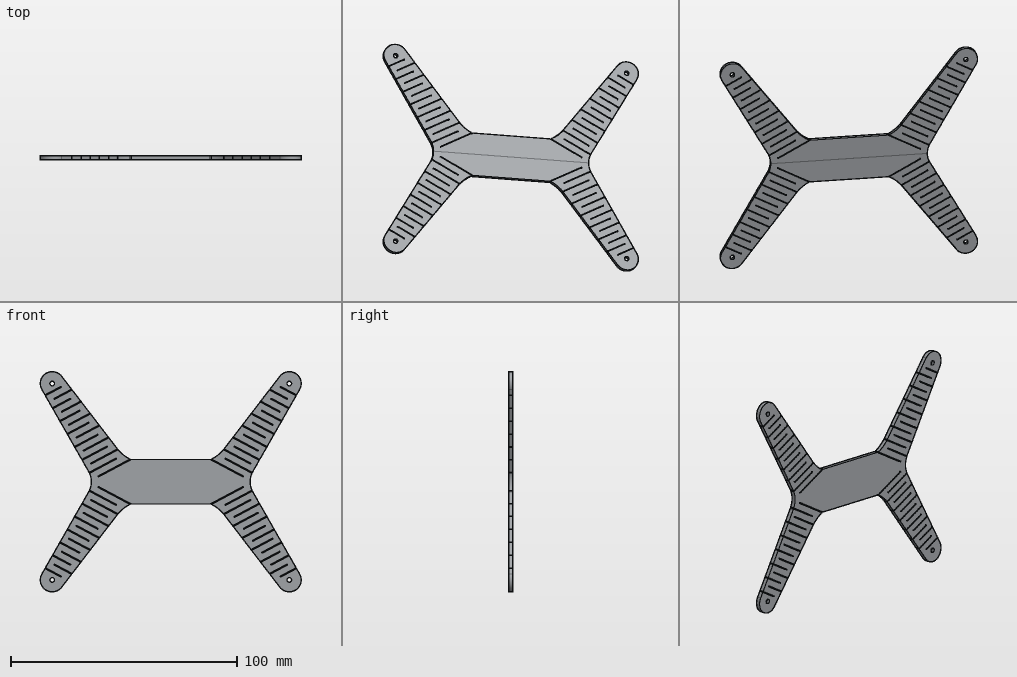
import cadquery as cq
import math

length = 115.5
height = 97.5
thickness = 2.0

body_half_height = 9.9
tip_radius = 5.3
hole_diameter = 2.0
end_blend_radius = 9.2
side_blend_radius = 17.3
side_corner_x = 17.9
outer_edge_angle = 29.7
inner_edge_angle = 37.5

slot_count = 14
slot_width = 0.29
slot_tilt = 28.0
first_slot_distance = 59.8
last_slot_distance = 17.1
outer_web = 2.7
inner_web = 3.0
overshoot = 3.5

slot_pitch = (first_slot_distance - last_slot_distance) / (slot_count - 1)


def offset(point, direction, distance):
    """Point moved by a distance along a unit direction."""
    return (point[0] + direction[0] * distance, point[1] + direction[1] * distance)


def unit(angle):
    """Unit direction at an angle in degrees from +X toward +Z."""
    return (math.cos(math.radians(angle)), math.sin(math.radians(angle)))


def distance_along_normal(point, normal):
    """Distance of a point from the plate centre, measured along a unit normal."""
    return point[0] * normal[0] + point[1] * normal[1]


outer_normal = unit(-outer_edge_angle)
inner_normal = unit(180 - inner_edge_angle)

slot_direction = unit(180 - slot_tilt)
slot_normal = unit(90 - slot_tilt)

tip_center = (length / 2 - tip_radius, height / 2 - tip_radius)
outer_tangent = offset(tip_center, outer_normal, tip_radius)
inner_tangent = offset(tip_center, inner_normal, tip_radius)
tip_middle = offset(tip_center, unit((180 - inner_edge_angle - outer_edge_angle) / 2), tip_radius)


def quarter_outline():
    """One quarter of the plate: half the body's width and height plus one arm."""
    outer_level = distance_along_normal(outer_tangent, outer_normal)
    inner_level = distance_along_normal(inner_tangent, inner_normal)

    end_center = ((outer_level + end_blend_radius) / outer_normal[0], 0)
    end_inner = offset(end_center, unit(180), end_blend_radius)
    end_middle = offset(end_center, unit(180 - outer_edge_angle / 2), end_blend_radius)
    end_outer = offset(end_center, unit(180 - outer_edge_angle), end_blend_radius)

    side_corner = (side_corner_x, body_half_height)
    corner_depth = distance_along_normal(side_corner, inner_normal) - inner_level
    blend_turn = math.degrees(math.acos(1 - corner_depth / side_blend_radius))
    side_center = offset(side_corner, unit(180 - inner_edge_angle - blend_turn), side_blend_radius)
    side_middle = offset(side_center, unit(-inner_edge_angle - blend_turn / 2), side_blend_radius)
    side_outer = offset(side_center, unit(-inner_edge_angle), side_blend_radius)

    return (
        cq.Workplane("XZ")
        .moveTo(0, 0)
        .lineTo(*end_inner)
        .threePointArc(end_middle, end_outer)
        .lineTo(*outer_tangent)
        .threePointArc(tip_middle, inner_tangent)
        .lineTo(*side_outer)
        .threePointArc(side_middle, side_corner)
        .lineTo(0, body_half_height)
        .close()
    )


def reach_to_edge(point, edge_point, edge_normal, web):
    """Signed travel along the slot from a point to a line set inside an arm edge by the web."""
    level = distance_along_normal(edge_point, edge_normal) - web
    gap = level - distance_along_normal(point, edge_normal)
    return gap / distance_along_normal(slot_direction, edge_normal)


def slot(index):
    """One slot; even ones open through the outer edge, odd ones through the inner edge."""
    base = offset((0, 0), slot_normal, first_slot_distance - index * slot_pitch)
    opens_outward = index % 2 == 0
    start = reach_to_edge(base, outer_tangent, outer_normal, 0 if opens_outward else outer_web)
    end = reach_to_edge(base, inner_tangent, inner_normal, inner_web if opens_outward else 0)
    if opens_outward:
        start -= overshoot
    else:
        end += overshoot
    middle = offset(base, slot_direction, (start + end) / 2)
    return (
        cq.Workplane("XZ")
        .center(*middle)
        .transformed(rotate=(0, 0, -slot_tilt))
        .rect(end - start, slot_width)
        .extrude(thickness / 2, both=True)
    )


def tip_hole():
    """Through hole at the centre of the arm's round tip."""
    return cq.Workplane("XZ").center(*tip_center).circle(hole_diameter / 2).extrude(thickness, both=True)


quarter = quarter_outline().extrude(thickness / 2, both=True).cut(tip_hole())
for index in range(slot_count):
    quarter = quarter.cut(slot(index))

half = quarter.union(quarter.mirror("YZ"))
result = half.union(half.mirror("XY")).clean()